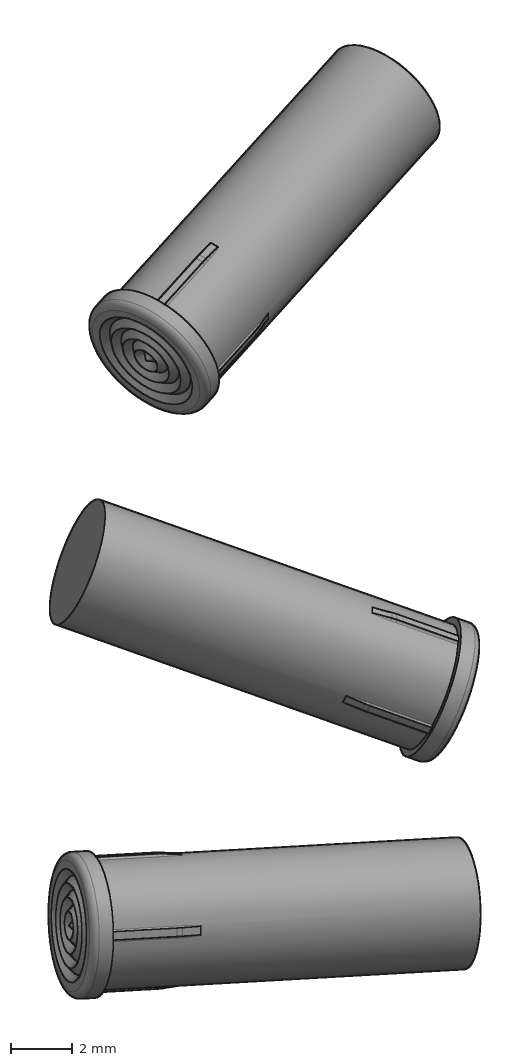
import cadquery as cq
import math

overall_length = 13.46
body_diameter = 4.35
flange_diameter = 4.83
flange_thickness = 0.75
flange_edge_radius = 0.25

wall_count = 8
grooved_diameter = 3.73
wall_slope = 45.0

rib_count = 4
rib_width = 0.28
rib_height = 0.075
rib_length = 3.08
rib_ramp_length = 0.75
rib_ramp_blend_radius = 1.88
rib_root_radius = 0.08
rib_root_overlap = 0.001
rib_root_depth = 0.13
rib_root_steps = 4

body_radius = body_diameter / 2
flange_radius = flange_diameter / 2
wall_width = grooved_diameter / 2 / wall_count
groove_depth = wall_width * math.tan(math.radians(wall_slope))

crest_radius = body_radius + rib_height
rib_end = flange_thickness + rib_length
ramp_corner = rib_end - rib_ramp_length
ramp_angle = math.atan2(rib_height, rib_ramp_length)
blend_reach = rib_ramp_blend_radius * math.tan(ramp_angle / 2)
blend_start = ramp_corner - blend_reach
blend_end = ramp_corner + blend_reach * math.cos(ramp_angle)
blend_end_radius = crest_radius - blend_reach * math.sin(ramp_angle)


def make_pin():
    """Revolve the body, rounded flange and grooved lens face about the Y axis."""
    arc_inset = flange_edge_radius * (1 - math.sqrt(0.5))
    profile = cq.Workplane("YZ").moveTo(0, 0)
    for wall in range(1, wall_count + 1):
        depth = groove_depth if wall % 2 else 0
        profile = profile.lineTo(depth, wall * wall_width)
    profile = (
        profile.lineTo(0, flange_radius - flange_edge_radius)
        .threePointArc((arc_inset, flange_radius - arc_inset), (flange_edge_radius, flange_radius))
        .lineTo(flange_thickness, flange_radius)
        .lineTo(flange_thickness, body_radius)
        .lineTo(overall_length, body_radius)
        .lineTo(overall_length, 0)
        .close()
    )
    return profile.revolve(360, (0, 0, 0), (1, 0, 0))


def make_rib():
    """Make the +Z rib: a bar from the axis outwards whose crest ramps down to the body."""
    return (
        cq.Workplane("YZ", origin=(-rib_width / 2, 0, 0))
        .moveTo(flange_thickness, 0)
        .lineTo(flange_thickness, crest_radius)
        .lineTo(blend_start, crest_radius)
        .tangentArcPoint((blend_end, blend_end_radius), relative=False)
        .lineTo(rib_end, body_radius)
        .lineTo(rib_end, 0)
        .close()
        .extrude(rib_width)
    )


def make_root_section(y, crest_height):
    """Draw the +X root fillet section at y: an arc tangent to the body that ends on the rib wall.

    Where the crest is too low for a full fillet, the arc ends on the crest edge instead.
    """
    wall = rib_width / 2
    foot_orbit = body_radius - rib_root_overlap
    arc_orbit = foot_orbit + rib_root_radius
    full_fillet_height = math.sqrt(arc_orbit**2 - (wall + rib_root_radius) ** 2)
    contact = cq.Vector(wall, min(crest_height, full_fillet_height))

    cosine = (contact.Length**2 + arc_orbit**2 - rib_root_radius**2) / (2 * contact.Length * arc_orbit)
    angle = math.atan2(contact.x, contact.y) + math.acos(cosine)
    outward = cq.Vector(math.sin(angle), math.cos(angle))
    centre = outward * arc_orbit
    foot = outward * foot_orbit
    middle = centre + ((contact + foot) * 0.5 - centre).normalized() * rib_root_radius

    arc_points = [cq.Vector(point.x, y, point.y) for point in (contact, middle, foot)]
    base = cq.Vector(0, y, body_radius - rib_root_depth)
    return cq.Wire.assembleEdges(
        [
            cq.Edge.makeThreePointArc(*arc_points),
            cq.Edge.makeLine(arc_points[2], base),
            cq.Edge.makeLine(base, arc_points[0]),
        ]
    )


def make_root():
    """Loft the +X root fillet of the +Z rib: constant at first, then fading out along the ramp."""
    sections = [make_root_section(y, crest_radius) for y in (flange_thickness, blend_start)]
    for step in range(rib_root_steps + 1):
        fade = step / rib_root_steps
        y = blend_end + fade * (rib_end - blend_end)
        height = blend_end_radius + fade * (body_radius - blend_end_radius)
        sections.append(make_root_section(y, height))
    return cq.Workplane(cq.Solid.makeLoft(sections, ruled=True))


rib_root = make_root()
rib = make_rib().union(rib_root).union(rib_root.mirror("YZ"))
result = make_pin()
for index in range(rib_count):
    result = result.union(rib.rotate((0, 0, 0), (0, 1, 0), index * 360 / rib_count))